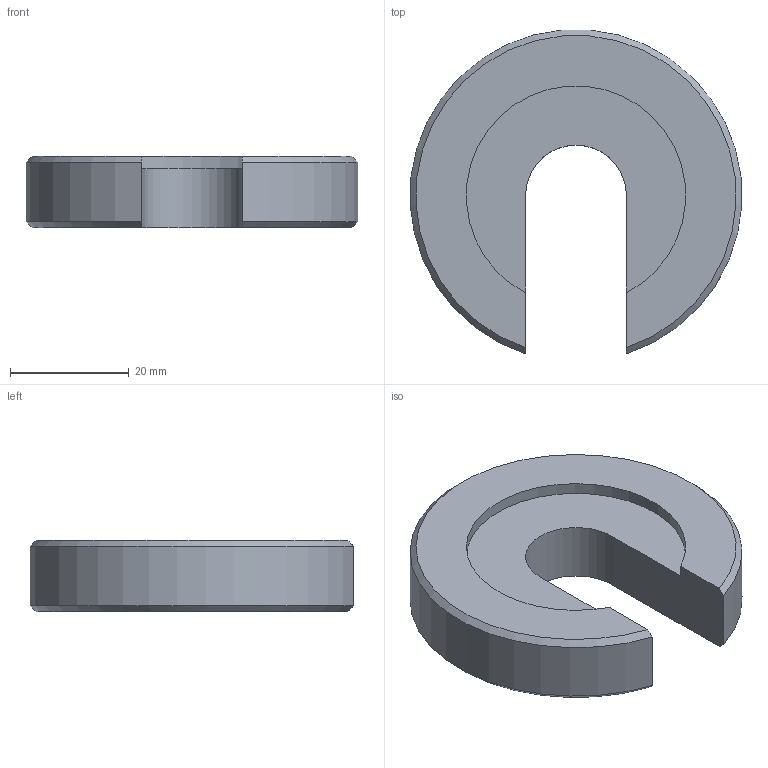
import cadquery as cq

outer_diameter = 56.0
thickness = 12.0
edge_chamfer = 1.0
recess_diameter = 37.0
recess_depth = 2.0
slot_width = 17.0


def make_disc():
    """Round disc on the XY plane with both rims chamfered."""
    disc = cq.Workplane("XY").circle(outer_diameter / 2).extrude(thickness)
    return disc.faces("<Z or >Z").edges().chamfer(edge_chamfer)


def make_recess():
    """Cylinder that sinks the seat into the top face."""
    floor = cq.Workplane("XY").workplane(offset=thickness - recess_depth)
    return floor.circle(recess_diameter / 2).extrude(recess_depth)


def make_slot():
    """Through slot, rounded about the disc axis and open toward -Y."""
    half_width = slot_width / 2
    open_end = -outer_diameter / 2
    return (
        cq.Workplane("XY")
        .moveTo(-half_width, open_end)
        .lineTo(-half_width, 0)
        .threePointArc((0, half_width), (half_width, 0))
        .lineTo(half_width, open_end)
        .close()
        .extrude(thickness)
    )


result = make_disc().cut(make_recess()).cut(make_slot())